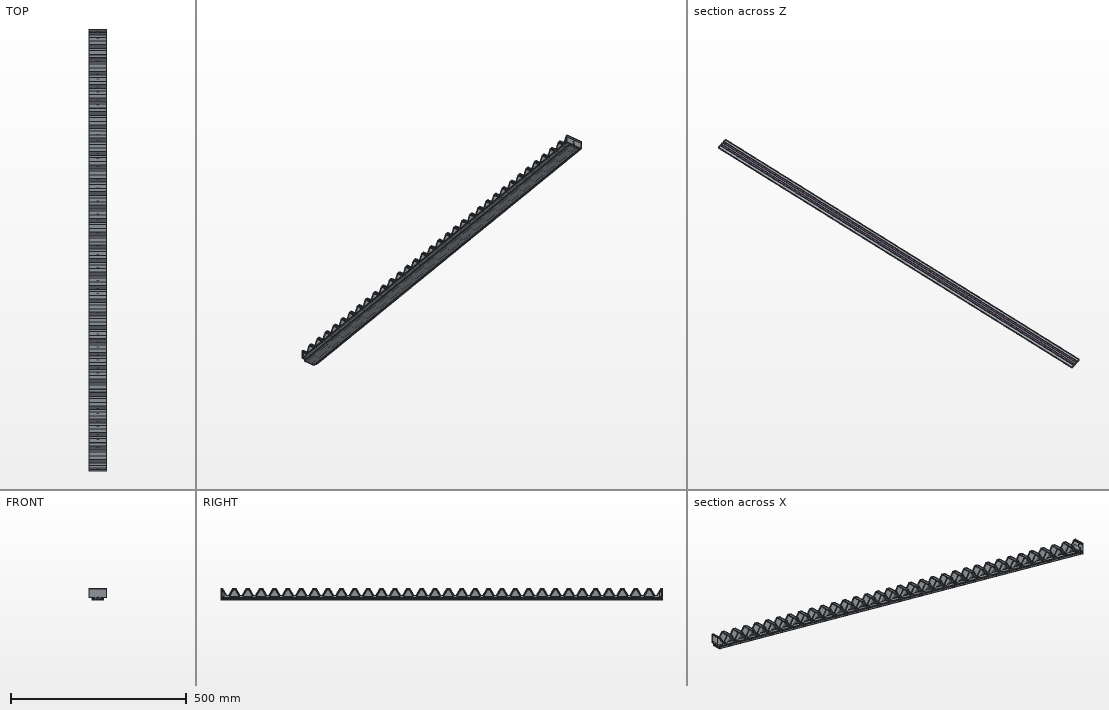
import cadquery as cq
import math

pitch = 38.1
pitch_count = 33
width = 50.8
height = 31.75
length = pitch * pitch_count
body_bottom = 6.35

tip_width = 9.525
root_width = 6.35
root_height = 12.7

shell = 3.175
web_thickness = 3.175
end_pocket_back = 7.9375
pocket_floor = body_bottom + shell
pocket_top = height - shell
pocket_depth = (width - web_thickness) / 2

rail_neck_width = 17.5
rail_flange_width = 34.0
rail_flange_height = 3.175
bore_diameter = 4.7625
bore_height = 4.7625

flank_run = (pitch - root_width - tip_width) / 2
flank_slope = flank_run / (height - root_height)
wall_along_rack = shell * math.hypot(1, flank_slope)


def inner_half_width(z):
    """Half the width of a tooth pocket at height z."""
    return tip_width / 2 + flank_slope * (height - z) - wall_along_rack


def inner_height(offset):
    """Height of the inner flank at a distance from the tooth center."""
    return height - (offset + wall_along_rack - tip_width / 2) / flank_slope


def make_body():
    """Toothed bar whose two ends are cut through the middle of a tooth."""
    outline = [(-length / 2, body_bottom), (-length / 2, height)]
    for gap in range(pitch_count):
        center = -length / 2 + (gap + 0.5) * pitch
        outline += [
            (center - root_width / 2 - flank_run, height),
            (center - root_width / 2, root_height),
            (center + root_width / 2, root_height),
            (center + root_width / 2 + flank_run, height),
        ]
    outline += [(length / 2, height), (length / 2, body_bottom)]
    return cq.Workplane("YZ").polyline(outline).close().extrude(width / 2, both=True)


def pocket_pair(profile, y):
    """Two pockets of one profile, one on each side of the web, centered at y."""
    one_side = (
        cq.Workplane("YZ", origin=(web_thickness / 2, y, 0))
        .polyline(profile)
        .close()
        .extrude(pocket_depth)
    )
    return [one_side.val(), one_side.mirror("YZ").val()]


def make_pockets():
    """Pockets of the whole teeth, and the narrower ones behind the end walls of the two half teeth."""
    top_half = inner_half_width(pocket_top)
    floor_half = inner_half_width(pocket_floor)
    tooth_profile = [
        (-floor_half, pocket_floor),
        (floor_half, pocket_floor),
        (top_half, pocket_top),
        (-top_half, pocket_top),
    ]
    pockets = []
    for tooth in range(1, pitch_count):
        pockets += pocket_pair(tooth_profile, -length / 2 + tooth * pitch)
    for side in (-1, 1):
        half_tooth_profile = [
            (-side * shell, pocket_floor),
            (-side * end_pocket_back, pocket_floor),
            (-side * end_pocket_back, inner_height(end_pocket_back)),
            (-side * shell, inner_height(shell)),
        ]
        pockets += pocket_pair(half_tooth_profile, side * length / 2)
    return cq.Workplane(cq.Compound.makeCompound(pockets))


def make_rail():
    """Full-length T-shaped rail: a neck under the body and a wider flange at the bottom."""
    neck = cq.Workplane("XY").box(rail_neck_width, length, body_bottom, centered=(True, True, False))
    flange = cq.Workplane("XY").box(
        rail_flange_width, length, rail_flange_height, centered=(True, True, False)
    )
    return neck.union(flange)


def make_bore():
    """Round bore along the middle of the rail."""
    return (
        cq.Workplane("XZ")
        .center(0, bore_height)
        .circle(bore_diameter / 2)
        .extrude(length / 2, both=True)
    )


result = make_body().cut(make_pockets()).union(make_rail()).cut(make_bore())